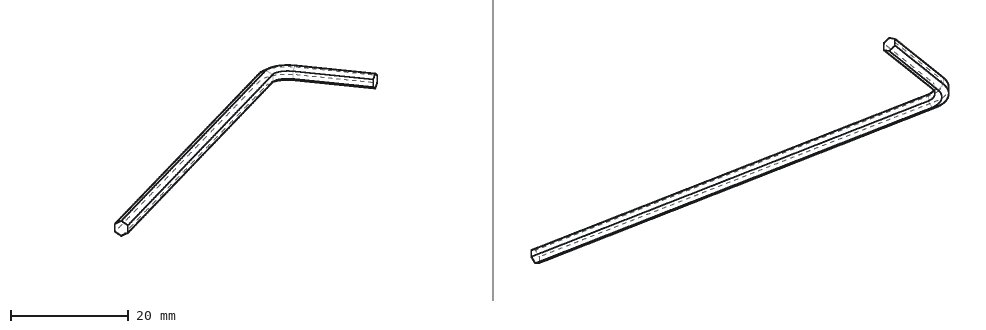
import cadquery as cq
import math

long_arm = 87.5
short_arm = 19.4
across_flats = 2.4
outer_bend_radius = 5.1

across_corners = across_flats / math.cos(math.radians(30))
half_flats = across_flats / 2
bend_radius = outer_bend_radius - half_flats

bend_centre = (outer_bend_radius, long_arm - outer_bend_radius)
bend_start = (half_flats, bend_centre[1])
bend_middle = (
    bend_centre[0] - bend_radius * math.cos(math.radians(45)),
    bend_centre[1] + bend_radius * math.sin(math.radians(45)),
)
bend_end = (bend_centre[0], long_arm - half_flats)
centreline = (
    cq.Workplane("XY")
    .moveTo(half_flats, 0)
    .lineTo(*bend_start)
    .threePointArc(bend_middle, bend_end)
    .lineTo(short_arm, bend_end[1])
)

section = (
    cq.Workplane("XZ", origin=(half_flats, 0, 0))
    .transformed(rotate=(0, 0, 90))
    .polygon(6, across_corners)
)

result = section.sweep(centreline)